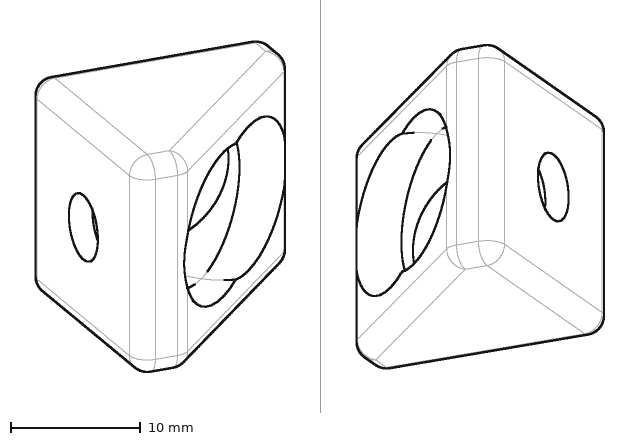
import cadquery as cq

leg = 20.0
height = 18.0
end_width = 4.0
edge_radius = 1.5
wall = 2.0
hole_diameter = 5.35
head_diameter = 12.0

outline = [
    (0, 0),
    (leg, 0),
    (leg, end_width),
    (end_width, leg),
    (0, leg),
]

front_face = cq.Plane((leg / 2, 0, height / 2), (1, 0, 0), (0, 1, 0))
side_face = cq.Plane((0, leg / 2, height / 2), (0, 1, 0), (1, 0, 0))
leg_faces = (front_face, side_face)


def bore(face, diameter, start):
    """Cylinder square to a leg face, beginning at the given depth below it."""
    return cq.Workplane(face).workplane(offset=start).circle(diameter / 2).extrude(leg)


body = cq.Workplane("XY").polyline(outline).close().extrude(height)
body = body.edges().fillet(edge_radius)

for face in leg_faces:
    body = body.cut(bore(face, head_diameter, wall))

for face in leg_faces:
    body = body.cut(bore(face, hole_diameter, 0))

result = body